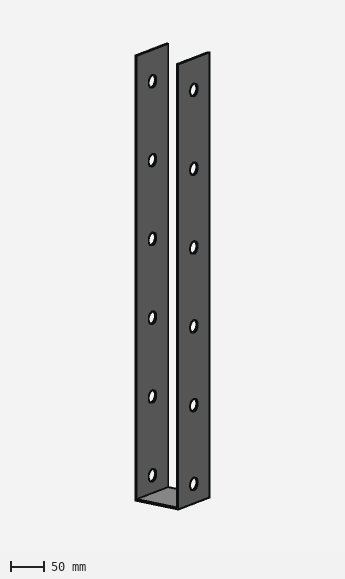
import cadquery as cq

width = 81.0
depth = 80.0
height = 703.0
wall = 3.0

hole_diameter = 20.0
hole_count = 6
hole_pitch = 124.5
first_hole_height = 31.0


def make_channel():
    """Two tall side walls joined by a floor, open at the top, front and back."""
    block = cq.Workplane("XY").box(width, depth, height, centered=(True, True, False))
    cavity = (
        cq.Workplane("XY")
        .workplane(offset=wall)
        .box(width - 2 * wall, depth, height - wall, centered=(True, True, False))
    )
    return block.cut(cavity)


def make_hole_cutters():
    """Evenly spaced cylinders along X, long enough to pass through both walls."""
    centers = [(0, first_hole_height + i * hole_pitch) for i in range(hole_count)]
    return (
        cq.Workplane("YZ")
        .pushPoints(centers)
        .circle(hole_diameter / 2)
        .extrude(width, both=True)
    )


result = make_channel().cut(make_hole_cutters())